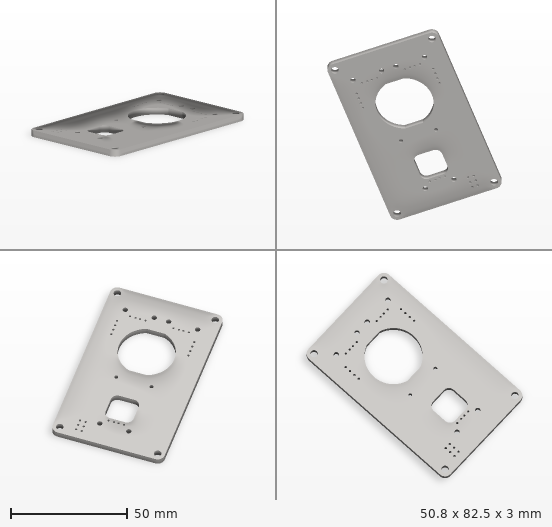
import cadquery as cq

WIDTH = 50.8
LENGTH = 82.55
THICKNESS = 3.0
CORNER_RADIUS = 3.175

MOUNT_DIAMETER = 3.2
MOUNT_X = WIDTH / 2 - CORNER_RADIUS
MOUNT_Y = LENGTH / 2 - CORNER_RADIUS

ROUND_OPENING_Y = 12.19
ROUND_OPENING_DIAMETER = 25.0
ROUND_OPENING_FLATS = 23.6

PAIR_DIAMETER = 1.7
PAIR_SPACING = 16.0
PAIR_Y = -4.83

SQUARE_OPENING_X = 0.025
SQUARE_OPENING_Y = -20.32
SQUARE_OPENING_SIZE = 12.7
SQUARE_OPENING_RADIUS = 3.0

FIXING_DIAMETER = 2.3
FIXING_SPACING = 13.14
PIN_DIAMETER = 0.92
PIN_OFFSETS = (-3.5, -1.0, 1.0, 3.5)
FIXING_TO_PINS = 2.7
CONNECTOR_Y = 30.77
LEFT_CONNECTOR_X = -9.525
RIGHT_CONNECTOR_X = 10.16

HEADER_DIAMETER = 1.02
HEADER_PITCH = 2.54
SIDE_HEADER_PINS = 4
SIDE_HEADER_X = 17.525
LEFT_HEADER_Y = 20.2
RIGHT_HEADER_Y = 20.07
BLOCK_HEADER_COLUMNS = 2
BLOCK_HEADER_ROWS = 3
BLOCK_HEADER_X = -13.84
BLOCK_HEADER_Y = -34.54


def make_plate():
    """Rounded rectangular plate resting on the XY plane."""
    plate = cq.Workplane("XY").rect(WIDTH, LENGTH).extrude(THICKNESS)
    return plate.edges("|Z").fillet(CORNER_RADIUS)


def round_holes(points, diameter):
    """Cylinders through the plate thickness at the given points."""
    return cq.Workplane("XY").pushPoints(points).circle(diameter / 2).extrude(THICKNESS)


def mounting_holes():
    points = [(x, y) for x in (-MOUNT_X, MOUNT_X) for y in (-MOUNT_Y, MOUNT_Y)]
    return round_holes(points, MOUNT_DIAMETER)


def pair_holes():
    return round_holes([(x, PAIR_Y) for x in (-PAIR_SPACING / 2, PAIR_SPACING / 2)], PAIR_DIAMETER)


def round_opening():
    """Disc trimmed by two flats parallel to X."""
    start = cq.Workplane("XY").center(0, ROUND_OPENING_Y)
    disc = start.circle(ROUND_OPENING_DIAMETER / 2).extrude(THICKNESS)
    band = start.rect(ROUND_OPENING_DIAMETER, ROUND_OPENING_FLATS).extrude(THICKNESS)
    return disc.intersect(band)


def square_opening():
    start = cq.Workplane("XY").center(SQUARE_OPENING_X, SQUARE_OPENING_Y)
    block = start.rect(SQUARE_OPENING_SIZE, SQUARE_OPENING_SIZE).extrude(THICKNESS)
    return block.edges("|Z").fillet(SQUARE_OPENING_RADIUS)


def connector_holes(x, fixing_y, pin_y):
    """Footprint of one connector, centred at x."""
    fixing_points = [(x + dx, fixing_y) for dx in (-FIXING_SPACING / 2, FIXING_SPACING / 2)]
    pin_points = [(x + dx, pin_y) for dx in PIN_OFFSETS]
    fixings = round_holes(fixing_points, FIXING_DIAMETER)
    return fixings.union(round_holes(pin_points, PIN_DIAMETER))


def header_holes(x, y, columns, rows):
    """Grid of header holes centred at (x, y)."""
    grid = cq.Workplane("XY").center(x, y).rarray(HEADER_PITCH, HEADER_PITCH, columns, rows)
    return grid.circle(HEADER_DIAMETER / 2).extrude(THICKNESS)


pin_row_y = CONNECTOR_Y - FIXING_TO_PINS

cutouts = [
    mounting_holes(),
    pair_holes(),
    round_opening(),
    square_opening(),
    connector_holes(LEFT_CONNECTOR_X, CONNECTOR_Y, pin_row_y),
    connector_holes(RIGHT_CONNECTOR_X, CONNECTOR_Y, pin_row_y),
    connector_holes(0, -CONNECTOR_Y, -pin_row_y),
    header_holes(-SIDE_HEADER_X, LEFT_HEADER_Y, 1, SIDE_HEADER_PINS),
    header_holes(SIDE_HEADER_X, RIGHT_HEADER_Y, 1, SIDE_HEADER_PINS),
    header_holes(BLOCK_HEADER_X, BLOCK_HEADER_Y, BLOCK_HEADER_COLUMNS, BLOCK_HEADER_ROWS),
]

result = make_plate()
for cutout in cutouts:
    result = result.cut(cutout)